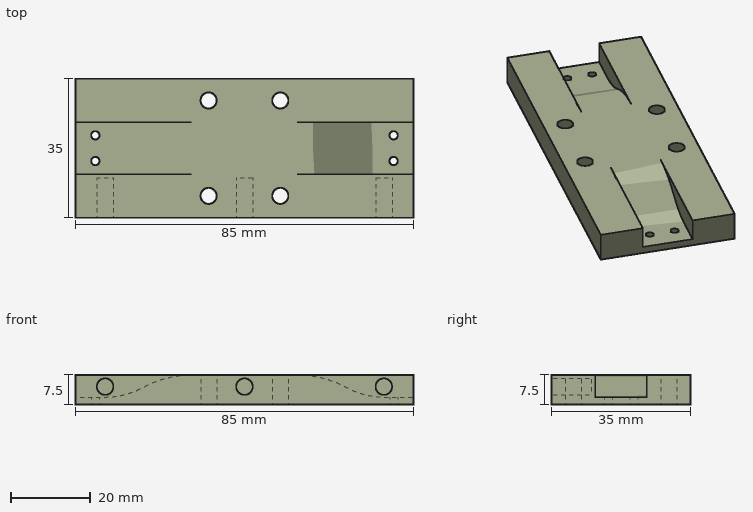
import cadquery as cq
import math

LENGTH = 85.0
WIDTH = 35.0
THICKNESS = 7.5

CHANNEL_WIDTH = 13.0
FLOOR_HEIGHT = 1.9
FLOOR_LENGTH = 7.3
LOWER_RADIUS = 20.0
UPPER_RADIUS = 25.0

MOUNT_DIAMETER = 4.0
MOUNT_SPACING_X = 18.0
MOUNT_SPACING_Y = 24.0
PIN_DIAMETER = 2.0
PIN_SPACING_X = 75.0
PIN_SPACING_Y = 6.5

SIDE_DIAMETER = 4.2
SIDE_DEPTH = 10.0
SIDE_SPACING = 35.0
SIDE_HEIGHT = 4.5


def arc_point(start, radius, angle, turn):
    """Point on an arc that leaves start at slope angle zero; turn is +1 for concave, -1 for convex."""
    x, z = start
    return x + turn * radius * math.sin(angle), z + turn * radius * (1 - math.cos(angle))


def ramped_channel():
    """Cutter for the -X channel: a flat floor rising to the top face along two tangent arcs."""
    end_x = -LENGTH / 2
    rise = THICKNESS - FLOOR_HEIGHT
    slope = math.acos(1 - rise / (LOWER_RADIUS + UPPER_RADIUS))
    ramp_length = (LOWER_RADIUS + UPPER_RADIUS) * math.sin(slope)
    ramp_start = (end_x + FLOOR_LENGTH, FLOOR_HEIGHT)
    ramp_end = (ramp_start[0] + ramp_length, THICKNESS)
    return (
        cq.Workplane("XZ")
        .moveTo(end_x, THICKNESS)
        .lineTo(end_x, FLOOR_HEIGHT)
        .lineTo(*ramp_start)
        .threePointArc(
            arc_point(ramp_start, LOWER_RADIUS, slope / 2, 1),
            arc_point(ramp_start, LOWER_RADIUS, slope, 1),
        )
        .threePointArc(arc_point(ramp_end, UPPER_RADIUS, slope / 2, -1), ramp_end)
        .close()
        .extrude(CHANNEL_WIDTH / 2, both=True)
    )


def hole_rectangle(diameter, spacing_x, spacing_y):
    """Cutter for four vertical through holes at the corners of a centred rectangle."""
    return (
        cq.Workplane("XY")
        .rect(spacing_x, spacing_y, forConstruction=True)
        .vertices()
        .circle(diameter / 2)
        .extrude(THICKNESS)
    )


def side_holes():
    """Cutter for the row of blind holes entering from the -Y side."""
    return (
        cq.Workplane("XZ", origin=(0, -WIDTH / 2, 0))
        .pushPoints([(x, SIDE_HEIGHT) for x in (-SIDE_SPACING, 0, SIDE_SPACING)])
        .circle(SIDE_DIAMETER / 2)
        .extrude(-SIDE_DEPTH)
    )


plate = cq.Workplane("XY").box(LENGTH, WIDTH, THICKNESS, centered=(True, True, False))
channel = ramped_channel()

result = (
    plate.cut(channel)
    .cut(channel.mirror("YZ"))
    .cut(hole_rectangle(MOUNT_DIAMETER, MOUNT_SPACING_X, MOUNT_SPACING_Y))
    .cut(hole_rectangle(PIN_DIAMETER, PIN_SPACING_X, PIN_SPACING_Y))
    .cut(side_holes())
)